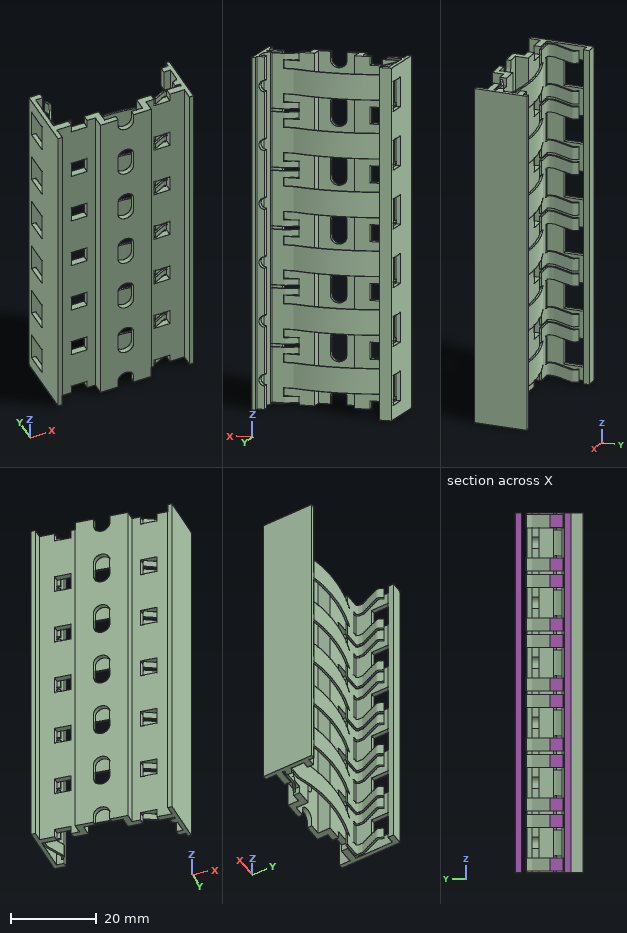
import cadquery as cq
import math

length = 84.0
width = 35.0
left_height = 16.0
right_height = 13.3
wall = 1.1
upper_right_wall = 0.9

web_bottom = 2.85
web_top = 4.5
channel_width = 13.1
channel_wall = 1.7
channel_floor = 1.3

left_lip_reach = 2.9
left_lip_bottom = 14.45
right_hook_reach = 2.8
right_hook_bottom = 10.4
right_hook_top = 12.0
bead_reach = 2.4
bead_shoulder = 6.3
bead_top = 7.0

cell_count = 6
pitch = length / cell_count
square_hole = 4.0
square_hole_x = 10.7
slot_width = 4.0
slot_length = 7.6
window_length = 7.05
window_bottom = 8.8
notch_radius = 1.35

clip_thickness = 0.5
bend_radius = 0.75
clip_gap = 0.75
flat_end = -11.85
arch_start = -12.8
arch_end = 9.75
arch_rise = 1.9
arch_length = 6.05
tab_bend_x = 11.85
tab_tip = (9.1, 3.4)
tab_clearance = 0.1
finger_lean_start = 6.7
finger_elbow = (-13.9, 12.1)
finger_tip = (-14.5, 13.35)

left_face = -width / 2
right_face = width / 2
left_inner = left_face + wall
right_inner = right_face - wall
clip_top = web_top + clip_thickness
clip_middle = web_top + clip_thickness / 2
clip_length = pitch - clip_gap
finger_flat_start = left_inner + 2 * clip_thickness + bend_radius
tab_flat_start = tab_bend_x + clip_thickness
cell_centers = [(i + 0.5) * pitch - length / 2 for i in range(cell_count)]
cell_borders = [i * pitch - length / 2 for i in range(cell_count + 1)]


def prism(outline, z_length, z_center):
    """Extrude a closed XY outline along Z, centred on z_center."""
    plane = cq.Workplane("XY", origin=(0, 0, z_center - z_length / 2))
    return plane.polyline(outline).close().extrude(z_length)


def block(x_range, y_range, z_length, z_center):
    """Box given by its X and Y limits, centred on z_center."""
    (x0, x1), (y0, y1) = x_range, y_range
    return prism([(x0, y0), (x1, y0), (x1, y1), (x0, y1)], z_length, z_center)


def shifted(point, angle, distance):
    """Point moved by a distance in the direction given by an angle."""
    return point[0] + distance * math.cos(angle), point[1] + distance * math.sin(angle)


def bent_strip(path, z_length, z_center):
    """Strip of clip thickness whose middle line follows an open path with rounded bends."""
    quarter = math.pi / 2
    headings = [math.atan2(b[1] - a[1], b[0] - a[0]) for a, b in zip(path, path[1:])]

    bends = []
    for corner, before, after in zip(path[1:], headings, headings[1:]):
        turn = math.remainder(after - before, 2 * math.pi)
        setback = bend_radius * math.tan(abs(turn) / 2)
        center_distance = math.copysign(bend_radius, turn)
        normals = [before + quarter, before + turn / 2 + quarter, after + quarter]
        center = shifted(shifted(corner, before, -setback), normals[0], center_distance)
        bends.append([(shifted(center, normal, -center_distance), normal) for normal in normals])

    half = clip_thickness / 2
    first_normal = headings[0] + quarter
    last_normal = headings[-1] + quarter
    plane = cq.Workplane("XY", origin=(0, 0, z_center - z_length / 2))
    outline = plane.moveTo(*shifted(path[0], first_normal, half))
    for bend in bends:
        start, middle, end = [shifted(point, normal, half) for point, normal in bend]
        outline = outline.lineTo(*start).threePointArc(middle, end)
    outline = outline.lineTo(*shifted(path[-1], last_normal, half))
    outline = outline.lineTo(*shifted(path[-1], last_normal, -half))
    for bend in reversed(bends):
        start, middle, end = [shifted(point, normal, -half) for point, normal in bend]
        outline = outline.lineTo(*end).threePointArc(middle, start)
    return outline.lineTo(*shifted(path[0], first_normal, -half)).close().extrude(z_length)


def make_rail():
    channel_outer = channel_width / 2
    channel_inner = channel_outer - channel_wall
    hook_face = right_face - right_hook_reach
    bead_face = right_face - bead_reach
    upper_inner = right_face - upper_right_wall
    section = [
        (left_face, 0),
        (left_inner, 0),
        (left_inner, web_bottom),
        (-channel_outer, web_bottom),
        (-channel_outer, 0),
        (channel_outer, 0),
        (channel_outer, web_bottom),
        (right_inner, web_bottom),
        (right_inner, 0),
        (right_face, 0),
        (right_face, right_height),
        (upper_inner, right_height),
        (upper_inner, right_hook_top),
        (hook_face, right_hook_top),
        (hook_face, right_hook_bottom),
        (right_inner, right_hook_bottom),
        (right_inner, bead_top),
        (bead_face, bead_shoulder),
        (bead_face, clip_top),
        (right_inner, clip_top),
        (right_inner, web_top),
        (channel_inner, web_top),
        (channel_inner, channel_floor),
        (-channel_inner, channel_floor),
        (-channel_inner, web_top),
        (left_inner, web_top),
        (left_inner, left_lip_bottom),
        (left_face + left_lip_reach, left_lip_bottom),
        (left_face + left_lip_reach, left_height),
        (left_face, left_height),
    ]
    return prism(section, length, 0)


def cut_border_openings(rail, z):
    """Mounting slot in the channel floor with a square hole on either side."""
    face = cq.Workplane("XZ", origin=(0, 0, z))
    slot = face.slot2D(slot_length, slot_width, 90).extrude(-web_top)
    holes = face.pushPoints([(-square_hole_x, 0), (square_hole_x, 0)])
    return rail.cut(slot).cut(holes.rect(square_hole, square_hole).extrude(-web_top))


def cut_center_openings(rail, z):
    """Window in the left wall and round notch in the right hook."""
    window = block((left_face, left_inner), (window_bottom, left_lip_bottom), window_length, z)
    notch = (
        cq.Workplane("XZ", origin=(right_face - right_hook_reach, right_hook_bottom, z))
        .circle(notch_radius)
        .extrude(right_hook_bottom - right_hook_top)
    )
    return rail.cut(window).cut(notch)


def make_arch(z):
    """Bowed leaf bridging the channel, with a short flat run to the right flat."""
    middle = (arch_start + arch_end) / 2
    return (
        cq.Workplane("XY", origin=(0, 0, z - arch_length / 2))
        .moveTo(arch_start, web_top)
        .threePointArc((middle, web_top + arch_rise), (arch_end, web_top))
        .lineTo(tab_flat_start, web_top)
        .lineTo(tab_flat_start, clip_top)
        .lineTo(arch_end, clip_top)
        .threePointArc((middle, clip_top + arch_rise), (arch_start, clip_top))
        .close()
        .extrude(arch_length)
    )


def make_clip(z):
    """Spring clip: two flats, a bowed leaf, and a finger and a tab at each end."""
    left_flat = block((finger_flat_start, flat_end), (web_top, clip_top), clip_length, z)
    right_flat = block((tab_flat_start, right_inner), (web_top, clip_top), clip_length, z)
    clip = left_flat.union(right_flat).union(make_arch(z))

    finger_x = left_inner + clip_thickness / 2
    finger_path = [
        (finger_flat_start, clip_middle),
        (finger_x, clip_middle),
        (finger_x, finger_lean_start),
        finger_elbow,
        finger_tip,
    ]
    finger_length = (clip_length - window_length) / 2
    finger_offset = (clip_length - finger_length) / 2

    tab_path = [(tab_flat_start, clip_middle), (tab_bend_x, clip_middle), tab_tip]
    tab_length = (square_hole - clip_gap) / 2 - tab_clearance
    tab_offset = (clip_length - tab_length) / 2

    for end in (-1, 1):
        clip = clip.union(bent_strip(finger_path, finger_length, z + end * finger_offset))
        clip = clip.union(bent_strip(tab_path, tab_length, z + end * tab_offset))
    return clip


result = make_rail()
for border in cell_borders:
    result = cut_border_openings(result, border)
for center in cell_centers:
    result = cut_center_openings(result, center)
for center in cell_centers:
    result = result.union(make_clip(center))